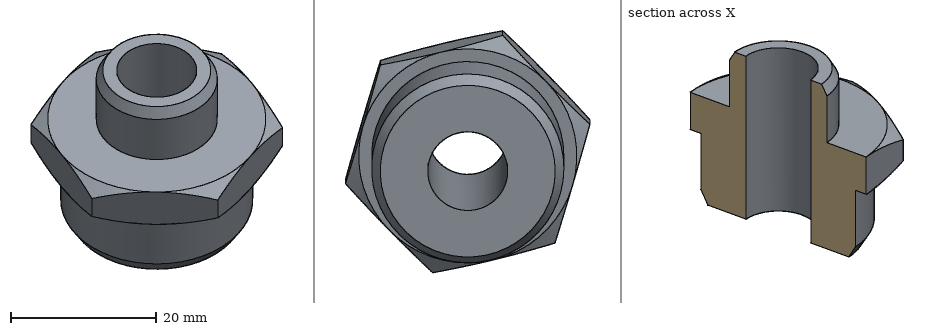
import cadquery as cq
import math

BORE_DIAMETER = 11.0

LOWER_DIAMETER = 26.44
LOWER_TIP_DIAMETER = 24.05
LOWER_LENGTH = 11.0

UPPER_DIAMETER = 16.66
UPPER_TIP_DIAMETER = 14.85
UPPER_LENGTH = 9.0

HEX_ACROSS_FLATS = 30.0
HEX_HEIGHT = 6.0
HEX_SIDES = 6

LEAD_IN_ANGLE = 30.0
HEX_BEVEL_ANGLE = 30.0
BEVEL_OVERHANG = 0.5

HEX_ACROSS_CORNERS = HEX_ACROSS_FLATS / math.cos(math.pi / HEX_SIDES)
HEX_BOTTOM = LOWER_LENGTH
HEX_TOP = HEX_BOTTOM + HEX_HEIGHT
TOTAL_HEIGHT = HEX_TOP + UPPER_LENGTH


def threaded_end(diameter, tip_diameter, length):
    """Cylinder rising from Z = 0, with a lead-in cone at its upper end."""
    radius = diameter / 2
    tip_radius = tip_diameter / 2
    cone_height = (radius - tip_radius) / math.tan(math.radians(LEAD_IN_ANGLE))
    return (
        cq.Workplane("XZ")
        .moveTo(0, 0)
        .lineTo(radius, 0)
        .lineTo(radius, length - cone_height)
        .lineTo(tip_radius, length)
        .lineTo(0, length)
        .close()
        .revolve(360, (0, 0), (0, 1))
    )


def hex_collar():
    """Hexagon from Z = 0, its corners bevelled by a cone on both faces."""
    face_radius = HEX_ACROSS_FLATS / 2
    corner_radius = HEX_ACROSS_CORNERS / 2
    envelope_radius = corner_radius + BEVEL_OVERHANG
    bevel_drop = (envelope_radius - face_radius) * math.tan(math.radians(HEX_BEVEL_ANGLE))
    envelope = (
        cq.Workplane("XZ")
        .moveTo(0, 0)
        .lineTo(face_radius, 0)
        .lineTo(envelope_radius, bevel_drop)
        .lineTo(envelope_radius, HEX_HEIGHT - bevel_drop)
        .lineTo(face_radius, HEX_HEIGHT)
        .lineTo(0, HEX_HEIGHT)
        .close()
        .revolve(360, (0, 0), (0, 1))
    )
    hexagon = cq.Workplane("XY").polygon(HEX_SIDES, HEX_ACROSS_CORNERS).extrude(HEX_HEIGHT)
    return hexagon.intersect(envelope)


collar = hex_collar().translate((0, 0, HEX_BOTTOM))

upper_end = threaded_end(UPPER_DIAMETER, UPPER_TIP_DIAMETER, UPPER_LENGTH).translate((0, 0, HEX_TOP))

lower_end = (
    threaded_end(LOWER_DIAMETER, LOWER_TIP_DIAMETER, LOWER_LENGTH)
    .rotate((0, 0, 0), (1, 0, 0), 180)
    .translate((0, 0, HEX_BOTTOM))
)

bore = cq.Workplane("XY").circle(BORE_DIAMETER / 2).extrude(TOTAL_HEIGHT)

result = collar.union(upper_end).union(lower_end).cut(bore)